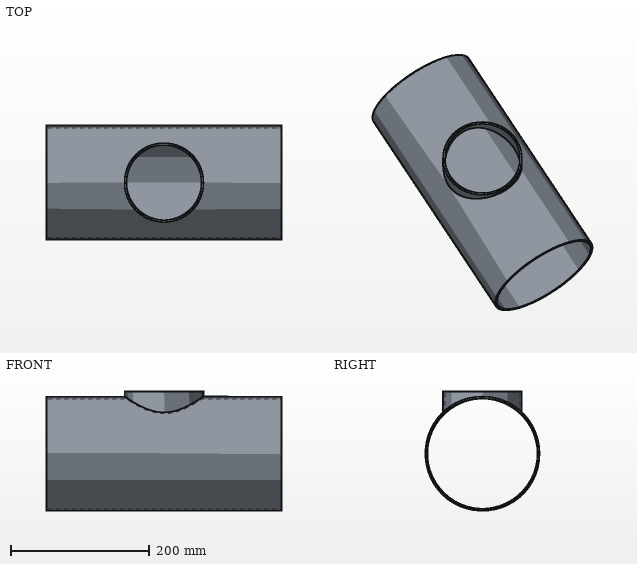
import cadquery as cq

pipe_length = 340.0
pipe_outer_diameter = 165.2
pipe_inner_diameter = 159.0

branch_outer_diameter = 114.2
branch_inner_diameter = 108.5
overall_height = 172.7
branch_top = overall_height - pipe_outer_diameter / 2


def pipe_cylinder(diameter):
    """Full-length cylinder on the pipe axis."""
    return cq.Workplane("YZ").circle(diameter / 2).extrude(pipe_length / 2, both=True)


def branch_cylinder(diameter):
    """Cylinder from the pipe axis up to the rim of the branch."""
    return cq.Workplane("XY").circle(diameter / 2).extrude(branch_top)


outside = pipe_cylinder(pipe_outer_diameter).union(branch_cylinder(branch_outer_diameter))
result = outside.cut(pipe_cylinder(pipe_inner_diameter)).cut(branch_cylinder(branch_inner_diameter))